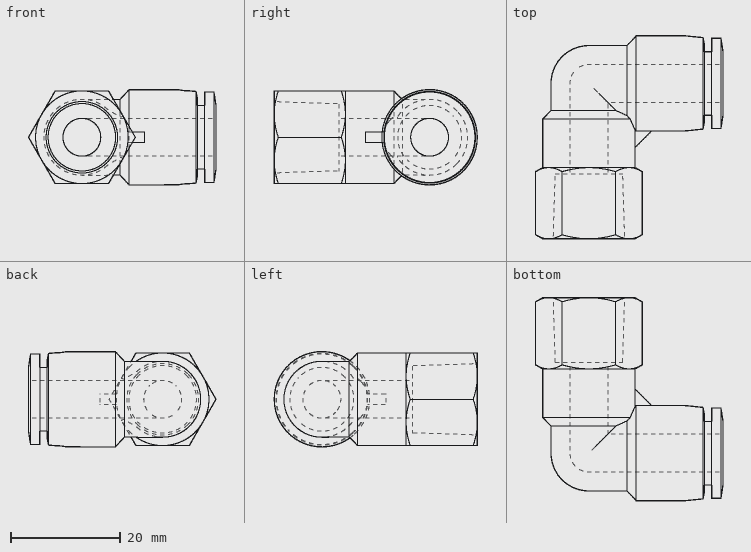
import cadquery as cq
import math


elbow_radius = 6.95
bore_radius = 3.45

hex_flats = 17.0
hex_length = 13.07
body_radius = 8.75
overall_length = 37.25
mouth_y = body_radius - overall_length
hex_back_y = mouth_y + hex_length
collar_radius = hex_flats / 2
collar_cone_y = -5.0
hex_corner_radius = collar_radius / math.cos(math.radians(30))
hex_chamfer_length = (hex_corner_radius - collar_radius) * math.tan(math.radians(30))
thread_mouth_radius = 6.55
thread_depth = 11.92
thread_taper = 1 / 16
thread_floor_radius = thread_mouth_radius - thread_depth * thread_taper / 2

cone_start_x = 7.0
cone_end_x = 8.68
taper_start_x = 17.55
taper_end_x = 19.75
lip_x = 20.95
body_end_x = 21.15
flange_x = 22.5
flange_edge_x = 24.2
flange_shoulder_x = 24.32
overall_width = 34.42
end_x = overall_width - hex_corner_radius

taper_end_radius = 8.53
lip_radius = 8.4
body_end_radius = 7.3
stem_radius = 5.85
flange_radius = 8.3
flange_shoulder_radius = 7.67
flange_end_radius = 5.85

web_thickness = 1.9
web_leg = 2.98


def revolve_about_x(points):
    return cq.Workplane("XY").polyline(points).close().revolve(360, (0, 0, 0), (1, 0, 0))


def revolve_about_y(points):
    return cq.Workplane("XY").polyline(points).close().revolve(360, (0, 0, 0), (0, 1, 0))


def make_threaded_leg():
    collar_cone_end_y = collar_cone_y - (collar_radius - elbow_radius)
    leg = revolve_about_y([
        (0, 0),
        (elbow_radius, 0),
        (elbow_radius, collar_cone_y),
        (collar_radius, collar_cone_end_y),
        (collar_radius, hex_back_y),
        (0, hex_back_y),
    ])
    nut = (
        cq.Workplane("XZ", origin=(0, hex_back_y, 0))
        .polygon(6, 2 * hex_corner_radius)
        .extrude(hex_length)
    )
    blank = revolve_about_y([
        (0, hex_back_y),
        (collar_radius, hex_back_y),
        (hex_corner_radius, hex_back_y - hex_chamfer_length),
        (hex_corner_radius, mouth_y + hex_chamfer_length),
        (collar_radius, mouth_y),
        (0, mouth_y),
    ])
    return leg.union(nut.intersect(blank))


def make_tube_leg():
    return revolve_about_x([
        (0, 0),
        (0, elbow_radius),
        (cone_start_x, elbow_radius),
        (cone_end_x, body_radius),
        (taper_start_x, body_radius),
        (taper_end_x, taper_end_radius),
        (lip_x, lip_radius),
        (body_end_x, body_end_radius),
        (body_end_x, stem_radius),
        (flange_x, stem_radius),
        (flange_x, flange_radius),
        (flange_edge_x, flange_radius),
        (flange_shoulder_x, flange_shoulder_radius),
        (end_x, flange_end_radius),
        (end_x, 0),
    ])


def make_web():
    return (
        cq.Workplane("XY", origin=(0, 0, -web_thickness / 2))
        .polyline([
            (elbow_radius, -elbow_radius),
            (collar_radius + web_leg, -elbow_radius),
            (collar_radius + web_leg, -body_radius),
            (collar_radius, -body_radius - web_leg),
            (elbow_radius, -body_radius - web_leg),
        ])
        .close()
        .extrude(web_thickness)
    )


def make_passage():
    thread = revolve_about_y([
        (0, mouth_y),
        (thread_mouth_radius, mouth_y),
        (thread_floor_radius, mouth_y + thread_depth),
        (0, mouth_y + thread_depth),
    ])
    down_bore = cq.Workplane("XZ").circle(bore_radius).extrude(-mouth_y)
    side_bore = cq.Workplane("YZ").circle(bore_radius).extrude(end_x)
    bend = cq.Workplane("XY").sphere(bore_radius)
    return thread.union(down_bore).union(side_bore).union(bend)


elbow = cq.Workplane("XY").sphere(elbow_radius)
outside = elbow.union(make_threaded_leg()).union(make_tube_leg()).union(make_web())
result = outside.cut(make_passage())